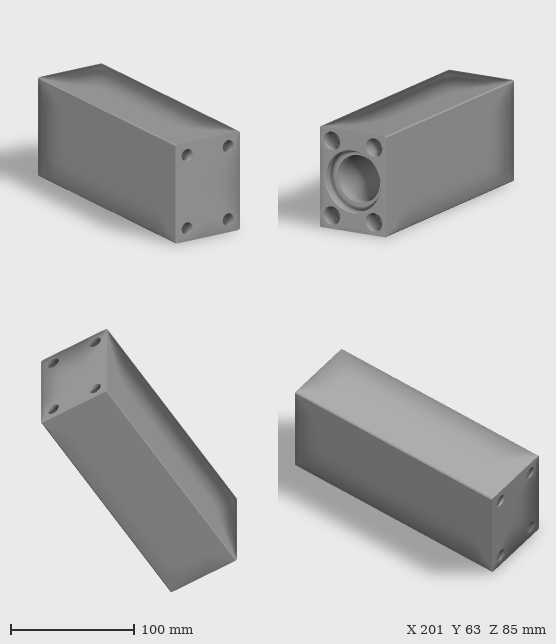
import cadquery as cq

LENGTH = 201.0
WIDTH = 63.0
HEIGHT = 85.0
EDGE_CHAMFER = 1.0

BORE_DIAMETER = 40.2
BORE_DEPTH = 170.8
RECESS_DIAMETER = 51.5
RECESS_DEPTH = 9.5
RECESS_CHAMFER = 0.6

BOLT_DIAMETER = 10.5
COUNTERBORE_DIAMETER = 15.7
COUNTERBORE_DEPTH = 15.7
BOLT_SPACING_Y = 40.0
BOLT_SPACING_Z = 63.0


def make_block():
    """Rectangular block with its four long edges chamfered."""
    return cq.Workplane("XY").box(LENGTH, WIDTH, HEIGHT).edges("|X").chamfer(EDGE_CHAMFER)


def end_cylinder(diameter, depth, y, z):
    """Cylinder reaching into the block from the -X end."""
    return (
        cq.Workplane("YZ", origin=(-LENGTH / 2, 0, 0))
        .center(y, z)
        .circle(diameter / 2)
        .extrude(depth)
    )


def make_bore():
    """Blind bore with a wider entry recess whose mouth is chamfered."""
    x_mouth = -LENGTH / 2
    recess_radius = RECESS_DIAMETER / 2
    bore_radius = BORE_DIAMETER / 2
    half_profile = [
        (x_mouth, 0),
        (x_mouth, recess_radius + RECESS_CHAMFER),
        (x_mouth + RECESS_CHAMFER, recess_radius),
        (x_mouth + RECESS_DEPTH, recess_radius),
        (x_mouth + RECESS_DEPTH, bore_radius),
        (x_mouth + BORE_DEPTH, bore_radius),
        (x_mouth + BORE_DEPTH, 0),
    ]
    return cq.Workplane("XY").polyline(half_profile).close().revolve(360, (0, 0, 0), (1, 0, 0))


def make_bolt_hole(y, z):
    """Through hole with a counterbore at the -X end."""
    shank = end_cylinder(BOLT_DIAMETER, LENGTH, y, z)
    counterbore = end_cylinder(COUNTERBORE_DIAMETER, COUNTERBORE_DEPTH, y, z)
    return shank.union(counterbore)


result = make_block().cut(make_bore())
for side_y in (-1, 1):
    for side_z in (-1, 1):
        result = result.cut(make_bolt_hole(side_y * BOLT_SPACING_Y / 2, side_z * BOLT_SPACING_Z / 2))